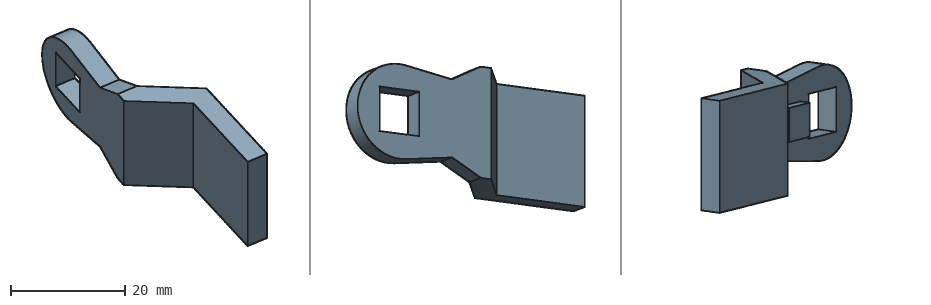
import cadquery as cq
import math

length = 52.0
width = 20.0
depth = 14.0
thickness = 4.0

head_radius = 8.55
hole_side = 8.0

waist_x = 19.2
waist_half_width = 7.0
flare_end_x = 25.0

joggle_end_x = 32.0
bend_shift = 2.1

stop_side = 6.1
stop_height = 2.05
stop_center_x = 18.0


def joggled_strip():
    """Full-width strip bent into two parallel flats."""
    points = [
        (0, 0),
        (flare_end_x + bend_shift, 0),
        (joggle_end_x + bend_shift, depth - thickness),
        (length, depth - thickness),
        (length, depth),
        (joggle_end_x, depth),
        (flare_end_x, thickness),
        (0, thickness),
    ]
    return cq.Workplane("XY").polyline(points).close().extrude(width / 2, both=True)


def face_outline():
    """Round head, tangent to the waist, flaring to the full width."""
    waist_dx = waist_x - head_radius
    waist_distance = math.hypot(waist_dx, waist_half_width)
    tangent_angle = math.atan2(waist_half_width, waist_dx) + math.acos(head_radius / waist_distance)
    tangent_x = head_radius * (1 + math.cos(tangent_angle))
    tangent_z = head_radius * math.sin(tangent_angle)
    return (
        cq.Workplane("XZ")
        .moveTo(tangent_x, tangent_z)
        .threePointArc((0, 0), (tangent_x, -tangent_z))
        .lineTo(waist_x, -waist_half_width)
        .lineTo(flare_end_x, -width / 2)
        .lineTo(length, -width / 2)
        .lineTo(length, width / 2)
        .lineTo(flare_end_x, width / 2)
        .lineTo(waist_x, waist_half_width)
        .close()
        .extrude(-depth)
    )


def square_hole():
    return (
        cq.Workplane("XZ")
        .center(head_radius, 0)
        .rect(hole_side, hole_side)
        .extrude(-thickness)
    )


def stop_block():
    return (
        cq.Workplane("XZ", origin=(0, thickness, 0))
        .center(stop_center_x, 0)
        .rect(stop_side, stop_side)
        .extrude(-stop_height)
    )


result = joggled_strip().intersect(face_outline()).cut(square_hole()).union(stop_block())